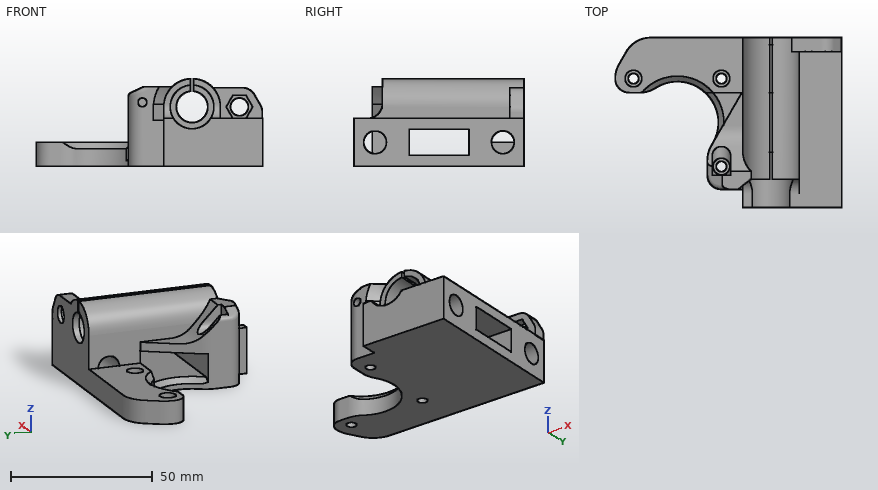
import cadquery as cq
import math


BLOCK_LEFT = 23.0
BLOCK_RIGHT = 58.0
HALF_LENGTH = 30.0
BLOCK_TOP = 17.0

TUBE_X = 33.0
TUBE_Z = 21.0
TUBE_RADIUS = TUBE_X - BLOCK_LEFT
TUBE_TOP = 30.95
TUBE_FRONT = -20.0
BEARING_RADIUS = 7.7
BORE_RADIUS = 5.5
BACK_WALL = 2.5
SLIT_WIDTH = 1.0
RAMP_RADIUS = 5.0

ROD_RADIUS = 4.0
ROD_Y = 22.5
ROD_Z = 8.5

WINDOW_FRONT = -10.4
WINDOW_BACK = 10.5
WINDOW_BOTTOM = 4.0
WINDOW_TOP = 13.1

SCREW_OFFSET = 15.5
PLATE_LEFT = -22.0
PLATE_THICKNESS = 8.6
SHOULDER_RADIUS = 10.0
PLATE_CORNER_RADIUS = 5.0
HUB_RADIUS = 14.4
HUB_RIM_RADIUS = 16.4
PLATE_BEVEL_DEPTH = 2.3
FLOOR_BEVEL_DEPTH = 2.0
SCREW_RADIUS = 1.8
HEAD_RADIUS = 2.95
HEAD_SEAT_Z = 5.6

TOWER_LEFT = 10.5
TOWER_FRONT = -23.6
TOWER_TOP = 28.1
TOWER_CORNER_RADIUS = 5.0
WEB_TOP = 16.4
WEB_SLOPE_START = -5.5
WEB_SLOPE_RADIUS = 10.0
CAP_LEFT_Z = 25.6
CAP_SLOPE = 0.47
CAP_RIM_RADIUS = 1.6
TRENCH_RADIUS = 3.25
TRENCH_FRONT = -18.5
TRENCH_Z = 22.6
ADJUST_RADIUS = 1.55
ADJUST_DEPTH = 3.0
RELIEF_BOTTOM = 16.3
RELIEF_TOP = 22.0

TAB_RIGHT = 57.8
TAB_TOP = 27.8
TAB_THICKNESS = 5.0
TAB_SHOULDER_Z = 20.5
TAB_RADIUS = 5.0
NUT_X = 49.7
NUT_FLATS = 8.1
NUT_DEPTH = 3.5
NUT_HOLE_RADIUS = 3.1

SIDE_ANGLE = math.radians(60)
MARGIN = 10.0


def box(x0, x1, y0, y1, z0, z1):
    """Axis-aligned box between two corners."""
    return cq.Workplane("XY").box(x1 - x0, y1 - y0, z1 - z0, centered=False).translate((x0, y0, z0))


def rod_x(radius, y, z, x0, x1):
    """Cylinder along X."""
    return cq.Workplane("YZ", origin=(x0, y, z)).circle(radius).extrude(x1 - x0)


def rod_y(radius, x, z, y0, y1):
    """Cylinder along Y."""
    return cq.Workplane("XZ", origin=(x, y1, z)).circle(radius).extrude(y1 - y0)


def rod_z(radius, x, y, z0, z1):
    """Cylinder along Z."""
    return cq.Workplane("XY", origin=(x, y, z0)).circle(radius).extrude(z1 - z0)


def fillet_edge(body, direction, point, radius):
    """Round the edge parallel to the given direction that lies nearest to the point."""
    edge = body.edges(direction).edges(cq.selectors.NearestToPointSelector(point))
    return edge.fillet(radius)


def polar(center, radius, degrees):
    """Point on a circle at the given angle from +X."""
    angle = math.radians(degrees)
    return (center[0] + radius * math.cos(angle), center[1] + radius * math.sin(angle))


def make_plate():
    """Motor arm plus the floor beside the hub hole."""
    low_center = (PLATE_LEFT + PLATE_CORNER_RADIUS, WINDOW_BACK + PLATE_CORNER_RADIUS)
    mid_center = (PLATE_LEFT + SHOULDER_RADIUS, low_center[1])
    top_center_y = HALF_LENGTH - SHOULDER_RADIUS
    top_center_x = mid_center[0] + (top_center_y - mid_center[1]) / math.tan(SIDE_ANGLE)
    top_center = (top_center_x, top_center_y)
    mid_z = PLATE_THICKNESS / 2
    hub = rod_z(HUB_RADIUS, 0, 0, 0, PLATE_THICKNESS)
    arm = (
        cq.Workplane("XY")
        .moveTo(*polar(low_center, PLATE_CORNER_RADIUS, 270))
        .threePointArc(
            polar(low_center, PLATE_CORNER_RADIUS, 225),
            polar(low_center, PLATE_CORNER_RADIUS, 180),
        )
        .threePointArc(polar(mid_center, SHOULDER_RADIUS, 165), polar(mid_center, SHOULDER_RADIUS, 150))
        .lineTo(*polar(top_center, SHOULDER_RADIUS, 150))
        .threePointArc(polar(top_center, SHOULDER_RADIUS, 120), polar(top_center, SHOULDER_RADIUS, 90))
        .lineTo(BLOCK_LEFT, HALF_LENGTH)
        .lineTo(BLOCK_LEFT, WINDOW_BACK)
        .close()
        .extrude(PLATE_THICKNESS)
    )
    arm = arm.cut(hub)
    hub_edge_x = -math.sqrt(HUB_RADIUS**2 - WINDOW_BACK**2)
    arm = fillet_edge(arm, "|Z", (hub_edge_x, WINDOW_BACK, mid_z), SHOULDER_RADIUS)
    floor_front = -HUB_RADIUS * math.cos(SIDE_ANGLE)
    floor = box(-hub_edge_x, BLOCK_LEFT, floor_front, WINDOW_BACK, 0, WINDOW_BOTTOM)
    return arm.union(floor.cut(hub))


def make_tower():
    """Screw tower with its web, sloped back, tilted cap and clearance beside the tube mouth."""

    def web_edge_y(x):
        """Y on the slanted web edge, which is tangent to the hub hole."""
        return (x * math.sin(SIDE_ANGLE) - HUB_RADIUS) / math.cos(SIDE_ANGLE)

    corner_y = web_edge_y(TOWER_LEFT)
    outline = [
        (TOWER_LEFT, TOWER_FRONT),
        (TUBE_X, TOWER_FRONT),
        (TUBE_X, web_edge_y(BLOCK_LEFT)),
        (BLOCK_LEFT, web_edge_y(BLOCK_LEFT)),
        (TOWER_LEFT, corner_y),
    ]
    raw_top = TOWER_TOP + MARGIN
    tower = cq.Workplane("XY").polyline(outline).close().extrude(raw_top)
    tower = fillet_edge(tower, "|Z", (TOWER_LEFT, TOWER_FRONT, raw_top / 2), TOWER_CORNER_RADIUS)
    tower = fillet_edge(tower, "|Z", (TOWER_LEFT, corner_y, raw_top / 2), SHOULDER_RADIUS)

    cap_back = WINDOW_BACK + MARGIN
    cap_right_z = CAP_LEFT_Z + CAP_SLOPE * (TUBE_X - TOWER_LEFT)
    above_cap = (
        cq.Workplane("XZ", origin=(0, cap_back, 0))
        .moveTo(TOWER_LEFT, CAP_LEFT_Z)
        .lineTo(TUBE_X, cap_right_z)
        .lineTo(TUBE_X, raw_top + MARGIN)
        .lineTo(TOWER_LEFT, raw_top + MARGIN)
        .close()
        .extrude(HALF_LENGTH + cap_back)
    )
    tower = tower.cut(above_cap)
    rim = cq.selectors.BoxSelector(
        (0, -HALF_LENGTH, 0),
        (TUBE_X, TOWER_FRONT + 2 * TOWER_CORNER_RADIUS, raw_top),
    )
    tower = tower.faces(">Z").edges(rim).fillet(CAP_RIM_RADIUS)

    slope_end = WEB_SLOPE_START - (TOWER_TOP - WEB_TOP)
    profile = [
        (TOWER_FRONT, 0),
        (TOWER_FRONT, TOWER_TOP),
        (slope_end, TOWER_TOP),
        (WEB_SLOPE_START, WEB_TOP),
        (WINDOW_BACK, WEB_TOP),
        (WINDOW_BACK, 0),
    ]
    envelope = cq.Workplane("YZ").polyline(profile).close().extrude(TUBE_X)
    envelope = fillet_edge(envelope, "|X", (TUBE_X / 2, WEB_SLOPE_START, WEB_TOP), WEB_SLOPE_RADIUS)
    tower = tower.intersect(envelope)

    flare = TUBE_FRONT - TOWER_FRONT
    flare_cone = cq.Solid.makeCone(
        TUBE_RADIUS, TUBE_RADIUS + flare, flare, cq.Vector(TUBE_X, TUBE_FRONT, TUBE_Z), cq.Vector(0, -1, 0)
    )
    wedge = (
        cq.Workplane("XY", origin=(0, 0, RELIEF_BOTTOM))
        .moveTo(BLOCK_LEFT, TUBE_FRONT)
        .lineTo(BLOCK_LEFT - flare, TOWER_FRONT)
        .lineTo(TUBE_X, TOWER_FRONT)
        .lineTo(TUBE_X, TUBE_FRONT)
        .close()
        .extrude(RELIEF_TOP - RELIEF_BOTTOM)
    )
    upper_half = box(0, TUBE_X, TOWER_FRONT, TUBE_FRONT, TUBE_Z, raw_top)
    upper_flare = cq.Workplane(flare_cone).intersect(upper_half)
    return tower.cut(upper_flare).cut(wedge)


def make_block():
    """Main block with the outside of the clamp tube and the ramp below the tube mouth."""
    block = box(BLOCK_LEFT, BLOCK_RIGHT, -HALF_LENGTH, HALF_LENGTH, 0, BLOCK_TOP)
    tube_right = TUBE_X + TUBE_RADIUS
    shoulders = box(BLOCK_LEFT, tube_right, TUBE_FRONT, HALF_LENGTH, 0, TUBE_Z)
    tube = rod_y(TUBE_RADIUS, TUBE_X, TUBE_Z, TUBE_FRONT, HALF_LENGTH)
    tube = tube.cut(
        box(BLOCK_LEFT, tube_right, TUBE_FRONT, HALF_LENGTH, TUBE_TOP, TUBE_TOP + MARGIN)
    )
    ramp_front = TUBE_FRONT - RAMP_RADIUS
    ramp_top = BLOCK_TOP + RAMP_RADIUS
    ramp = box(BLOCK_LEFT, tube_right, ramp_front, TUBE_FRONT, BLOCK_TOP, ramp_top)
    ramp = ramp.cut(rod_x(RAMP_RADIUS, ramp_front, ramp_top, BLOCK_LEFT, tube_right))
    return block.union(shoulders).union(tube).union(ramp)


def make_nut_tab():
    """Upright tab at the back of the block, with slanted right shoulder."""
    shoulder_x = TAB_RIGHT - (TAB_TOP - TAB_SHOULDER_Z) / math.tan(SIDE_ANGLE)
    mid_y = HALF_LENGTH - TAB_THICKNESS / 2
    outline = [
        (TUBE_X, BLOCK_TOP),
        (TAB_RIGHT, BLOCK_TOP),
        (TAB_RIGHT, TAB_SHOULDER_Z),
        (shoulder_x, TAB_TOP),
        (TUBE_X, TAB_TOP),
    ]
    tab = cq.Workplane("XZ", origin=(0, HALF_LENGTH, 0)).polyline(outline).close().extrude(TAB_THICKNESS)
    tab = fillet_edge(tab, "|Y", (TAB_RIGHT, mid_y, TAB_SHOULDER_Z), TAB_RADIUS)
    tab = fillet_edge(tab, "|Y", (shoulder_x, mid_y, TAB_TOP), TAB_RADIUS)
    tab_front = HALF_LENGTH - TAB_THICKNESS
    nut = (
        cq.Workplane("XZ", origin=(NUT_X, tab_front + NUT_DEPTH, TUBE_Z))
        .polygon(6, NUT_FLATS / math.cos(math.pi / 6))
        .extrude(NUT_DEPTH)
    )
    return tab.cut(nut).cut(rod_y(NUT_HOLE_RADIUS, NUT_X, TUBE_Z, tab_front, HALF_LENGTH))


def cut_bearing_seat(body):
    """Bearing bore stopping at the back wall, smaller hole through the wall, and the slit on top."""
    seat = rod_y(BEARING_RADIUS, TUBE_X, TUBE_Z, -HALF_LENGTH, HALF_LENGTH - BACK_WALL)
    bore = rod_y(BORE_RADIUS, TUBE_X, TUBE_Z, -HALF_LENGTH, HALF_LENGTH)
    half_slit = SLIT_WIDTH / 2
    slit = box(TUBE_X - half_slit, TUBE_X + half_slit, TUBE_FRONT, HALF_LENGTH, TUBE_Z, TUBE_TOP + MARGIN)
    return body.cut(seat).cut(bore).cut(slit)


def cut_side_openings(body):
    """Belt window and the two rod holes, all running along X."""
    x_end = BLOCK_RIGHT + MARGIN
    body = body.cut(box(0, x_end, WINDOW_FRONT, WINDOW_BACK, WINDOW_BOTTOM, WINDOW_TOP))
    for y in (-ROD_Y, ROD_Y):
        body = body.cut(rod_x(ROD_RADIUS, y, ROD_Z, BLOCK_LEFT, x_end))
    return body


def hub_bevel(top_z, depth, y0, y1):
    """Conical widening of the hub hole below the given height, limited to a band in Y."""
    cone = cq.Solid.makeCone(HUB_RADIUS, HUB_RIM_RADIUS, depth, cq.Vector(0, 0, top_z - depth))
    band = box(-HUB_RIM_RADIUS, HUB_RIM_RADIUS, y0, y1, top_z - depth, top_z)
    return cq.Workplane(cone).intersect(band)


def cut_hub_bevels(body):
    """Bevels on the arm and on the lower floor inside the belt window."""
    body = body.cut(hub_bevel(PLATE_THICKNESS, PLATE_BEVEL_DEPTH, WINDOW_BACK, HUB_RIM_RADIUS))
    return body.cut(hub_bevel(WINDOW_BOTTOM, FLOOR_BEVEL_DEPTH, WINDOW_FRONT, WINDOW_BACK))


def cut_tower_trench(body):
    """Round-bottomed trench open to the top, and the blind adjusting-screw hole in the front face."""
    x0 = SCREW_OFFSET - TRENCH_RADIUS
    x1 = SCREW_OFFSET + TRENCH_RADIUS
    body = body.cut(rod_y(TRENCH_RADIUS, SCREW_OFFSET, TRENCH_Z, TRENCH_FRONT, WEB_SLOPE_START))
    body = body.cut(box(x0, x1, TRENCH_FRONT, WEB_SLOPE_START, TRENCH_Z, TOWER_TOP + MARGIN))
    return body.cut(rod_y(ADJUST_RADIUS, SCREW_OFFSET, TRENCH_Z, TOWER_FRONT, TOWER_FRONT + ADJUST_DEPTH))


def cut_motor_screws(body):
    """Counterbored motor screw holes: two in the arm and one under the trench."""
    screws = [
        (-SCREW_OFFSET, SCREW_OFFSET, PLATE_THICKNESS),
        (SCREW_OFFSET, SCREW_OFFSET, PLATE_THICKNESS),
        (SCREW_OFFSET, -SCREW_OFFSET, TRENCH_Z),
    ]
    for x, y, top_z in screws:
        body = body.cut(rod_z(SCREW_RADIUS, x, y, 0, top_z))
        body = body.cut(rod_z(HEAD_RADIUS, x, y, HEAD_SEAT_Z, top_z))
    return body


result = make_block().union(make_plate()).union(make_tower()).union(make_nut_tab())
result = cut_side_openings(result)
result = cut_bearing_seat(result)
result = cut_hub_bevels(result)
result = cut_tower_trench(result)
result = cut_motor_screws(result)